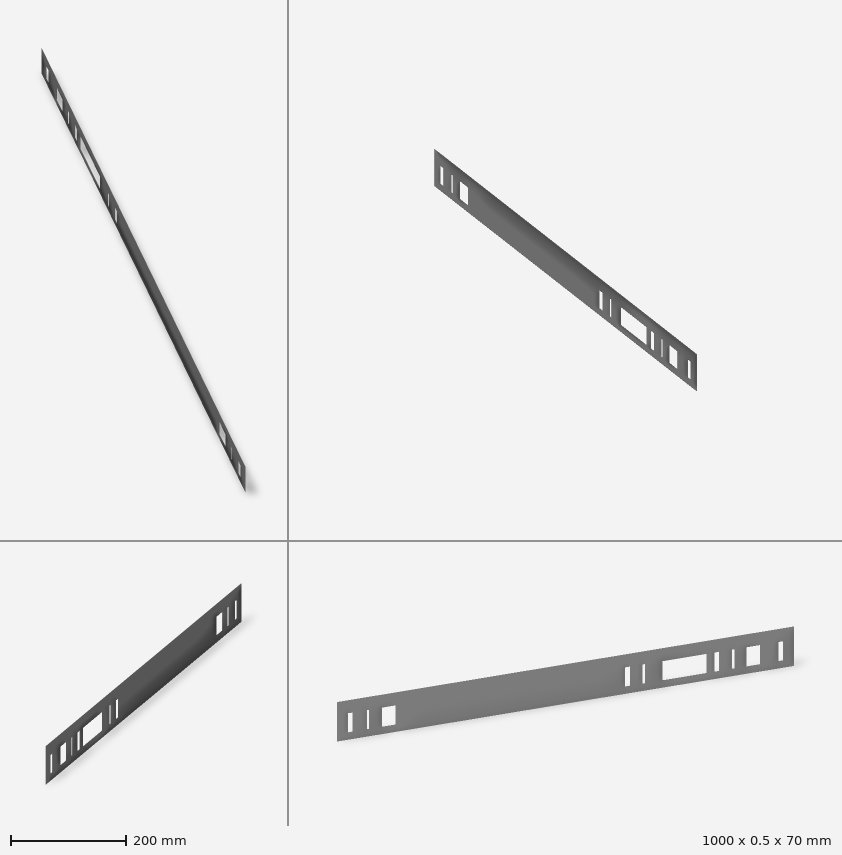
import cadquery as cq

strip_length = 1000.0
strip_height = 70.0
strip_thickness = 0.5

opening_height = 34.0
opening_centre_z = -5.0

slot_width = 11.0
narrow_slot_width = 5.0
square_window_width = 30.0
long_window_width = 97.0

pair_spacing = 196.0
end_slot_start = 23.0
inner_slot_start = 163.0
inner_narrow_slot_start = 130.0
right_narrow_slot_start = 930.0
left_window_start = 74.0
right_window_start = 872.0
long_window_start = 191.0

slot_starts = [
    end_slot_start,
    inner_slot_start,
    inner_slot_start + pair_spacing,
    strip_length - end_slot_start - slot_width,
]
narrow_slot_starts = [
    inner_narrow_slot_start,
    inner_narrow_slot_start + pair_spacing,
    right_narrow_slot_start,
]


def openings(starts, width):
    """Rectangular through-cutters of one width with the given left edges."""
    points = [(start + width / 2 - strip_length / 2, opening_centre_z) for start in starts]
    return (
        cq.Workplane("XZ")
        .pushPoints(points)
        .rect(width, opening_height)
        .extrude(strip_thickness, both=True)
    )


result = cq.Workplane("XY").box(strip_length, strip_thickness, strip_height)
result = result.cut(openings(slot_starts, slot_width))
result = result.cut(openings(narrow_slot_starts, narrow_slot_width))
result = result.cut(openings([left_window_start, right_window_start], square_window_width))
result = result.cut(openings([long_window_start], long_window_width))